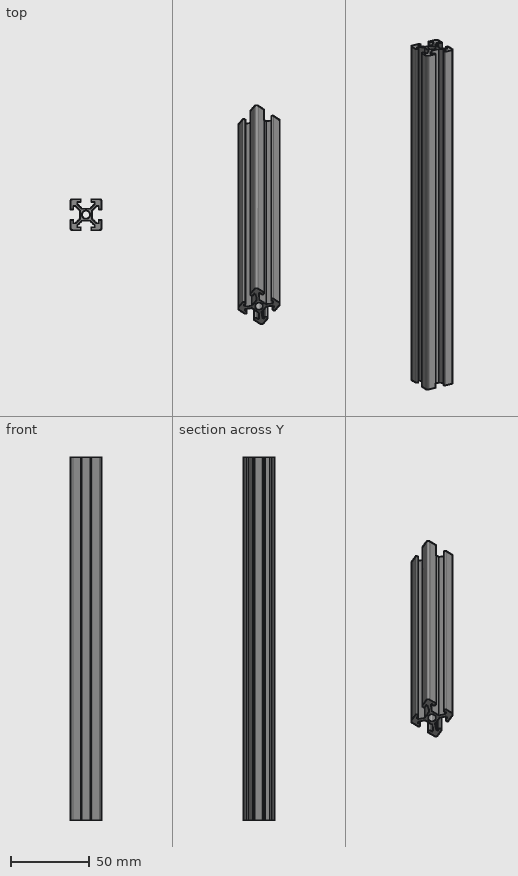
import cadquery as cq

length = 232.5
width = 20.0
corner_radius = 1.5

slot_opening = 6.5
lip_thickness = 1.98
lip_tip_radius = 0.58
cavity_width = 11.0

core_width = 8.0
web_thickness = 1.9
bore_diameter = 5.0

half_opening = slot_opening / 2
half_cavity = cavity_width / 2
outer_face = width / 2
lip_inner_face = outer_face - lip_thickness


def slot_cutter():
    """Full-length prism that cuts the T-slot on the +Y side."""
    slot_floor = core_width / 2
    web_offset = web_thickness / 2 * 2**0.5

    right_side = [
        (slot_floor - web_offset, slot_floor),
        (half_cavity, half_cavity + web_offset),
        (half_cavity, lip_inner_face),
        (half_opening, lip_inner_face),
        (half_opening, outer_face),
    ]
    left_side = [(-x, y) for x, y in reversed(right_side)]
    return cq.Workplane("XY").polyline(right_side + left_side).close().extrude(length)


def cut_slot(bar):
    """Cut the +Y slot and round the tips of its two lips."""
    margin = lip_thickness / 4
    tip_zone = cq.selectors.BoxSelector(
        (-half_opening - margin, lip_inner_face - margin, 0),
        (half_opening + margin, outer_face + margin, length),
    )
    return bar.cut(slot_cutter()).edges("|Z").edges(tip_zone).fillet(lip_tip_radius)


result = cq.Workplane("XY").rect(width, width).extrude(length).edges("|Z").fillet(corner_radius)

for side in range(4):
    result = cut_slot(result).rotate((0, 0, 0), (0, 0, 1), 90)

result = result.faces(">Z").workplane(origin=(0, 0, length)).hole(bore_diameter)